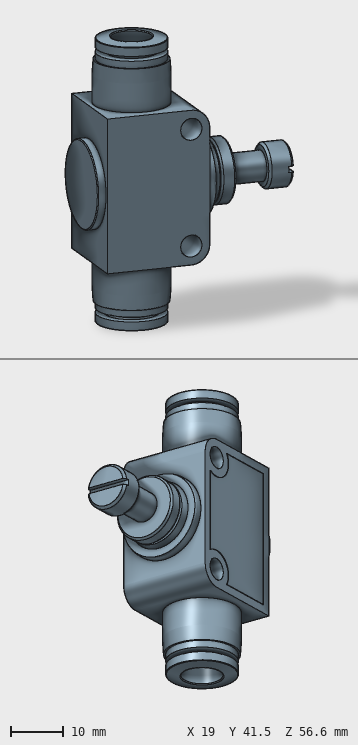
import cadquery as cq


BLOCK_WIDTH = 19.0
BLOCK_HEIGHT = 30.5
BLOCK_FRONT_Y = -8.5
BLOCK_BACK_Y = 12.25
MOUNT_HOLE_DIAMETER = 4.3
MOUNT_CORNER_RADIUS = 3.75

RECESS_DEPTH = 0.1
RECESS_RIM = 1.75
RECESS_HOLE_PAD_RADIUS = 3.9

OVERALL_HEIGHT = 56.56
TUBE_END_Z = OVERALL_HEIGHT / 2
FITTING_DIAMETER = 15.0
FITTING_TIP_DIAMETER = 14.6
TAPER_START_Z = 20.9
TAPER_END_Z = 23.8
COLLAR_DIAMETER = 13.8
COLLAR_BOTTOM_Z = 26.15
COLLAR_RIM_Z = 27.82
COLLAR_RIM_CHAMFER = 0.12
SHOULDER_TOP_Z = 25.2
NECK_DIAMETER = 9.94
NECK_CHAMFER = 0.3
TUBE_SOCKET_DIAMETER = 7.94
SOCKET_MOUTH_CHAMFER = 0.2
SOCKET_FLOOR_Z = BLOCK_HEIGHT / 2
PASSAGE_DIAMETER = 5.5

CAP_DIAMETER = 17.5
CAP_FRONT_Y = -10.2
CAP_CHAMFER = 0.2

FLANGE_DIAMETER = 17.0
FLANGE_BACK_Y = 14.0
FLANGE_CHAMFER = 0.5
FLANGE_CHAMFER_INSET = 0.15
HUB_BASE_DIAMETER = 13.5
HUB_MIDDLE_DIAMETER = 13.05
HUB_TIP_DIAMETER = 12.8
HUB_BACK_Y = 15.5
GROOVE_DIAMETER = 11.3
NUT_DIAMETER = 13.0
NUT_FRONT_Y = 15.85
NUT_BACK_Y = 18.85
NUT_CHAMFER = 0.4

SHAFT_DIAMETER = 6.0
HEAD_DIAMETER = 9.0
HEAD_LENGTH = 5.0
OVERALL_LENGTH_Y = 41.5
HEAD_BACK_Y = CAP_FRONT_Y + OVERALL_LENGTH_Y
HEAD_FRONT_Y = HEAD_BACK_Y - HEAD_LENGTH
HEAD_CHAMFER = 0.5
SLOT_WIDTH = 1.2
SLOT_DEPTH = 1.1

MOUNT_HOLE_Y = BLOCK_BACK_Y - MOUNT_CORNER_RADIUS
MOUNT_HOLE_Z = BLOCK_HEIGHT / 2 - MOUNT_CORNER_RADIUS
MOUNT_HOLE_CENTRES = [(MOUNT_HOLE_Y, MOUNT_HOLE_Z), (MOUNT_HOLE_Y, -MOUNT_HOLE_Z)]


def y_cylinder(diameter, start_y, end_y):
    """Solid cylinder on the screw axis between two Y positions."""
    return (
        cq.Workplane("XZ", origin=(0, start_y, 0))
        .circle(diameter / 2)
        .extrude(start_y - end_y)
    )


def make_recess(face_x):
    """Material removed from the side face: a rectangle minus a round pad at each hole."""
    length_y = BLOCK_BACK_Y - BLOCK_FRONT_Y - 2 * RECESS_RIM
    middle_y = (BLOCK_BACK_Y + BLOCK_FRONT_Y) / 2
    face = cq.Workplane("YZ", origin=(face_x, 0, 0))
    recess = face.center(middle_y, 0).rect(length_y, BLOCK_HEIGHT - 2 * RECESS_RIM).extrude(RECESS_DEPTH)
    pads = face.pushPoints(MOUNT_HOLE_CENTRES).circle(RECESS_HOLE_PAD_RADIUS).extrude(RECESS_DEPTH)
    return recess.cut(pads)


def make_block():
    """Block with rounded back corners, two cross holes and the side recess."""
    face_x = -BLOCK_WIDTH / 2
    side = cq.Workplane("YZ", origin=(face_x, 0, 0))
    block = (
        side.center((BLOCK_BACK_Y + BLOCK_FRONT_Y) / 2, 0)
        .rect(BLOCK_BACK_Y - BLOCK_FRONT_Y, BLOCK_HEIGHT)
        .extrude(BLOCK_WIDTH)
        .edges("|X and >Y")
        .fillet(MOUNT_CORNER_RADIUS)
    )
    holes = side.pushPoints(MOUNT_HOLE_CENTRES).circle(MOUNT_HOLE_DIAMETER / 2).extrude(BLOCK_WIDTH)
    return block.cut(holes).cut(make_recess(face_x))


def make_fitting():
    """Upper push-in fitting, revolved about Z; it stands on the top of the block."""
    neck_radius = NECK_DIAMETER / 2
    mouth_radius = TUBE_SOCKET_DIAMETER / 2 + SOCKET_MOUTH_CHAMFER
    return (
        cq.Workplane("XZ")
        .moveTo(0, BLOCK_HEIGHT / 2)
        .lineTo(FITTING_DIAMETER / 2, BLOCK_HEIGHT / 2)
        .lineTo(FITTING_DIAMETER / 2, TAPER_START_Z)
        .tangentArcPoint((FITTING_TIP_DIAMETER / 2, TAPER_END_Z), relative=False)
        .lineTo(COLLAR_DIAMETER / 2, TAPER_END_Z)
        .lineTo(COLLAR_DIAMETER / 2, SHOULDER_TOP_Z)
        .lineTo(neck_radius, SHOULDER_TOP_Z)
        .lineTo(neck_radius, COLLAR_BOTTOM_Z - NECK_CHAMFER)
        .lineTo(neck_radius + NECK_CHAMFER, COLLAR_BOTTOM_Z)
        .lineTo(COLLAR_DIAMETER / 2, COLLAR_BOTTOM_Z)
        .lineTo(COLLAR_DIAMETER / 2, COLLAR_RIM_Z)
        .lineTo(COLLAR_DIAMETER / 2 - COLLAR_RIM_CHAMFER, COLLAR_RIM_Z + COLLAR_RIM_CHAMFER)
        .lineTo(mouth_radius, TUBE_END_Z)
        .lineTo(0, TUBE_END_Z)
        .close()
        .revolve(360, (0, 0, 0), (0, 1, 0))
    )


def make_socket():
    """Cutter for the upper half of the bore: passage, tube socket and chamfered mouth."""
    socket_radius = TUBE_SOCKET_DIAMETER / 2
    return (
        cq.Workplane("XZ")
        .lineTo(PASSAGE_DIAMETER / 2, 0)
        .lineTo(PASSAGE_DIAMETER / 2, SOCKET_FLOOR_Z)
        .lineTo(socket_radius, SOCKET_FLOOR_Z)
        .lineTo(socket_radius, TUBE_END_Z - SOCKET_MOUTH_CHAMFER)
        .lineTo(socket_radius + SOCKET_MOUTH_CHAMFER, TUBE_END_Z)
        .lineTo(0, TUBE_END_Z)
        .close()
        .revolve(360, (0, 0, 0), (0, 1, 0))
    )


def make_cap():
    """Round cap on the front face."""
    return y_cylinder(CAP_DIAMETER, BLOCK_FRONT_Y, CAP_FRONT_Y).edges("<Y").chamfer(CAP_CHAMFER)


def make_bush():
    """Flange, flared hub and groove, revolved about Y."""
    flange_radius = FLANGE_DIAMETER / 2
    hub_middle = (HUB_MIDDLE_DIAMETER / 2, (FLANGE_BACK_Y + HUB_BACK_Y) / 2)
    return (
        cq.Workplane("XY")
        .moveTo(0, BLOCK_BACK_Y)
        .lineTo(flange_radius, BLOCK_BACK_Y)
        .lineTo(flange_radius, FLANGE_BACK_Y - FLANGE_CHAMFER)
        .lineTo(flange_radius - FLANGE_CHAMFER_INSET, FLANGE_BACK_Y)
        .lineTo(HUB_BASE_DIAMETER / 2, FLANGE_BACK_Y)
        .threePointArc(hub_middle, (HUB_TIP_DIAMETER / 2, HUB_BACK_Y))
        .lineTo(GROOVE_DIAMETER / 2, HUB_BACK_Y)
        .lineTo(GROOVE_DIAMETER / 2, NUT_FRONT_Y)
        .lineTo(0, NUT_FRONT_Y)
        .close()
        .revolve(360, (0, 0, 0), (0, 1, 0))
    )


def make_nut():
    """Round lock nut, chamfered at both ends."""
    return y_cylinder(NUT_DIAMETER, NUT_FRONT_Y, NUT_BACK_Y).edges().chamfer(NUT_CHAMFER)


def make_screw():
    """Adjusting screw: shaft and chamfered head with a slot along X."""
    shaft = y_cylinder(SHAFT_DIAMETER, NUT_BACK_Y, HEAD_FRONT_Y)
    head = y_cylinder(HEAD_DIAMETER, HEAD_FRONT_Y, HEAD_BACK_Y).edges("%CIRCLE").chamfer(HEAD_CHAMFER)
    slot = cq.Workplane("XY").box(HEAD_DIAMETER, 2 * SLOT_DEPTH, SLOT_WIDTH).translate((0, HEAD_BACK_Y, 0))
    return shaft.union(head.cut(slot))


def both_ends(upper):
    """An upper shape joined to its mirror image below the origin plane."""
    return upper.union(upper.mirror("XY"))


result = (
    make_block()
    .union(both_ends(make_fitting()))
    .union(make_cap())
    .union(make_bush())
    .union(make_nut())
    .union(make_screw())
    .cut(both_ends(make_socket()))
)